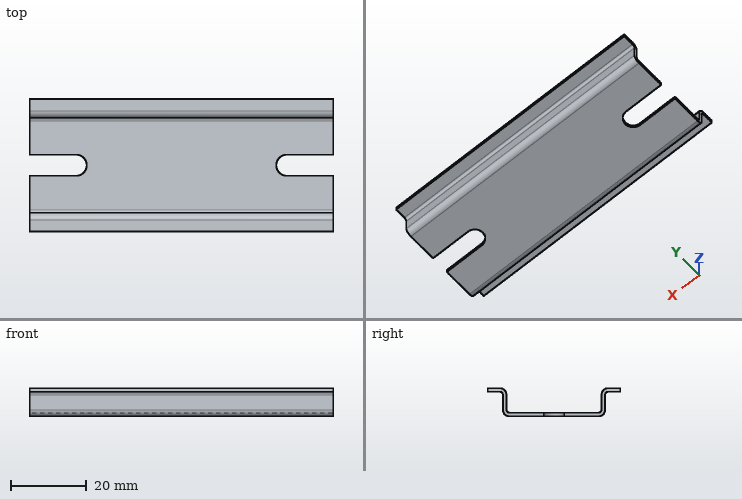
import cadquery as cq

length = 80.0
width = 35.0
height = 7.5
thickness = 1.0
channel_width = 27.0
bend_inner_radius = 0.8
bend_outer_radius = bend_inner_radius + thickness

slot_width = 5.5
slot_depth = 15.0

flange_tip = width / 2
wall_outer = channel_width / 2
wall_inner = wall_outer - thickness
floor_top = thickness
flange_bottom = height - thickness


def round_bend(body, y, z, radius):
    """Round the lengthwise edge that lies at the given Y and Z."""
    margin = thickness / 4
    edge_at_corner = cq.selectors.BoxSelector(
        (-length, y - margin, z - margin),
        (length, y + margin, z + margin),
    )
    return body.edges(edge_at_corner).fillet(radius)


def make_half_rail():
    """The +Y half: floor, upright wall and outward flange, with rounded bends."""
    half = (
        cq.Workplane("YZ")
        .polyline(
            [
                (0, 0),
                (wall_outer, 0),
                (wall_outer, flange_bottom),
                (flange_tip, flange_bottom),
                (flange_tip, height),
                (wall_inner, height),
                (wall_inner, floor_top),
                (0, floor_top),
            ]
        )
        .close()
        .extrude(length / 2, both=True)
    )
    half = round_bend(half, wall_inner, floor_top, bend_inner_radius)
    half = round_bend(half, wall_outer, 0, bend_outer_radius)
    half = round_bend(half, wall_outer, flange_bottom, bend_inner_radius)
    half = round_bend(half, wall_inner, height, bend_outer_radius)
    return half


def make_end_slot(side):
    """Cutter for one slot: a round-ended slot centred on the rail end."""
    return (
        cq.Workplane("XY")
        .center(side * length / 2, 0)
        .slot2D(2 * slot_depth, slot_width)
        .extrude(thickness)
    )


half_rail = make_half_rail()
result = half_rail.union(half_rail.mirror("XZ")).clean()
for end in (-1, 1):
    result = result.cut(make_end_slot(end))